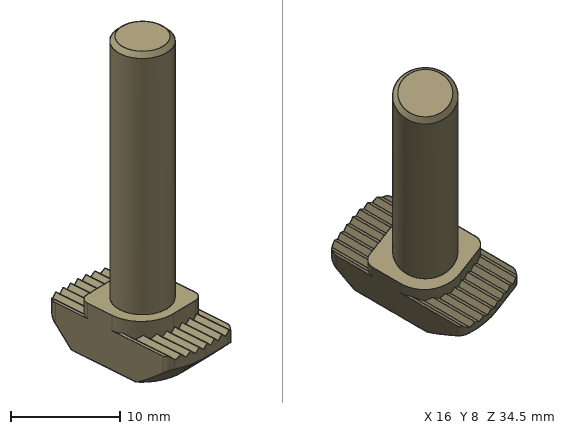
import cadquery as cq
import math

total_height = 34.5
head_length = 16.0
head_width = head_length / 2
head_height = 4.5
collar_top = 6.0
shank_radius = 3.0
shank_chamfer = 0.5
corner_radius = 1.0
edge_height = 3.0
tooth_pitch = 1.0
tooth_depth = tooth_pitch / 2
shank_offset = 0.17

head_radius = head_length / 2
half_width = head_width / 2
base_radius = head_radius - edge_height
tooth_root = head_height - tooth_depth


def quadrant_box(side, size, height):
    """Box in the +X+Y quadrant (side = 1) or the -X-Y quadrant (side = -1)."""
    box = cq.Workplane("XY").box(size, size, height, centered=(True, True, False))
    return box.translate((side * size / 2, side * size / 2, 0))


def twist_block(length, bottom, top):
    """Block whose -X+Y and +X-Y corners follow a circle of the block's half length."""
    radius = length / 2
    height = top - bottom
    outline = cq.Workplane("XY").circle(radius).extrude(height)
    for side in (1, -1):
        outline = outline.union(quadrant_box(side, radius, height))
    block = cq.Workplane("XY").box(length, head_width, height, centered=(True, True, False))
    return block.intersect(outline).translate((0, 0, bottom))


def round_upright_edges(block, x, y, middle_height):
    """Round the upright edge at (x, y) and the one opposite it."""
    for side in (1, -1):
        nearest = cq.selectors.NearestToPointSelector((side * x, side * y, middle_height))
        block = block.edges("|Z").edges(nearest).fillet(corner_radius)
    return block


def underside_envelope():
    """Flat slopes in the square-cornered quadrants and a cone in the rounded ones."""
    profile = [
        (0, 0),
        (base_radius, 0),
        (head_radius, edge_height),
        (head_radius, head_height),
        (0, head_height),
    ]
    envelope = cq.Workplane("XZ").polyline(profile).close().revolve(360, (0, 0), (0, 1))
    for side in (1, -1):
        wedge_profile = [(side * x, z) for x, z in profile]
        wedge = cq.Workplane("XZ").polyline(wedge_profile).close().extrude(-side * half_width)
        envelope = envelope.union(wedge)
    return envelope


def make_head():
    arc_end = math.sqrt(head_radius**2 - half_width**2)
    head = twist_block(head_length, 0, head_height)
    head = round_upright_edges(head, head_radius, half_width, head_height / 2)
    head = round_upright_edges(head, arc_end, -half_width, head_height / 2)
    return head.intersect(underside_envelope())


def cut_teeth(head):
    """Cut V grooves along X, leaving a tooth crest in line with the shank axis."""
    grooves_per_side = math.ceil(half_width / tooth_pitch) + 1
    for index in range(-grooves_per_side, grooves_per_side):
        root_y = shank_offset + (index + 0.5) * tooth_pitch
        groove_profile = [
            (root_y - tooth_pitch / 2, head_height),
            (root_y, tooth_root),
            (root_y + tooth_pitch / 2, head_height),
        ]
        groove = cq.Workplane("YZ").polyline(groove_profile).close().extrude(head_radius, both=True)
        head = head.cut(groove)
    return head


def make_collar():
    """Anti-turn collar, starting at the tooth roots so that it fills the grooves."""
    collar = twist_block(head_width, tooth_root, collar_top)
    return round_upright_edges(collar, half_width, half_width, (tooth_root + collar_top) / 2)


def make_shank():
    """Plain shank with a chamfered tip, rooted inside the head."""
    shank = cq.Workplane("XY").workplane(offset=edge_height).center(0, shank_offset)
    shank = shank.circle(shank_radius).extrude(total_height - edge_height)
    return shank.faces(">Z").chamfer(shank_chamfer)


result = cut_teeth(make_head()).union(make_collar()).union(make_shank())